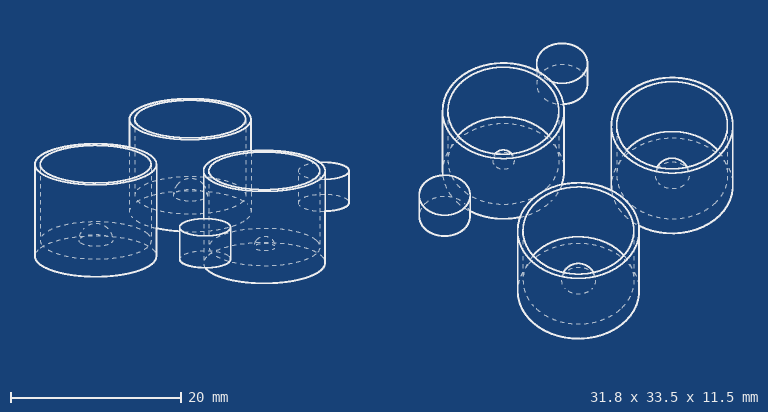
import cadquery as cq

CUP_HEIGHT = 11.5
CUP_DIAMETER = 14.3
CUP_WALL = 0.65
CUP_FLOOR = 2.0
LARGE_STUD_DIAMETER = 4.0
SMALL_STUD_DIAMETER = 2.5

DISC_DIAMETER = 6.0
DISC_HEIGHT = 4.0
DISC_BOTTOM = 4.0

OVERALL_X = 31.8
OVERALL_Y = 33.5
COLUMN_X = (OVERALL_X - CUP_DIAMETER) / 2
LEFT_CUP_Y = (OVERALL_Y - CUP_DIAMETER) / 2
DISC_Y = 12.03


def make_cup(x, y, stud_diameter):
    """Cup standing on Z = 0 with a hemispherical stud in the middle of its floor."""
    cup = cq.Workplane("XY").circle(CUP_DIAMETER / 2).extrude(CUP_HEIGHT)
    cavity = (
        cq.Workplane("XY", origin=(0, 0, CUP_FLOOR))
        .circle(CUP_DIAMETER / 2 - CUP_WALL)
        .extrude(CUP_HEIGHT - CUP_FLOOR)
    )
    stud = cq.Workplane("XY").add(
        cq.Solid.makeSphere(stud_diameter / 2, cq.Vector(0, 0, CUP_FLOOR), cq.Vector(0, 0, 1), 0, 90)
    )
    return cup.cut(cavity).union(stud).translate((x, y, 0))


def make_disc(y):
    """Plain disc in line with the right column."""
    return (
        cq.Workplane("XY", origin=(COLUMN_X, y, DISC_BOTTOM))
        .circle(DISC_DIAMETER / 2)
        .extrude(DISC_HEIGHT)
    )


large_stud_cups = [make_cup(-COLUMN_X, y, LARGE_STUD_DIAMETER) for y in (-LEFT_CUP_Y, LEFT_CUP_Y)]
small_stud_cup = make_cup(COLUMN_X, 0, SMALL_STUD_DIAMETER)
discs = [make_disc(y) for y in (-DISC_Y, DISC_Y)]

result = cq.Compound.makeCompound([
    *[cup.val() for cup in large_stud_cups],
    small_stud_cup.val(),
    *[disc.val() for disc in discs],
])